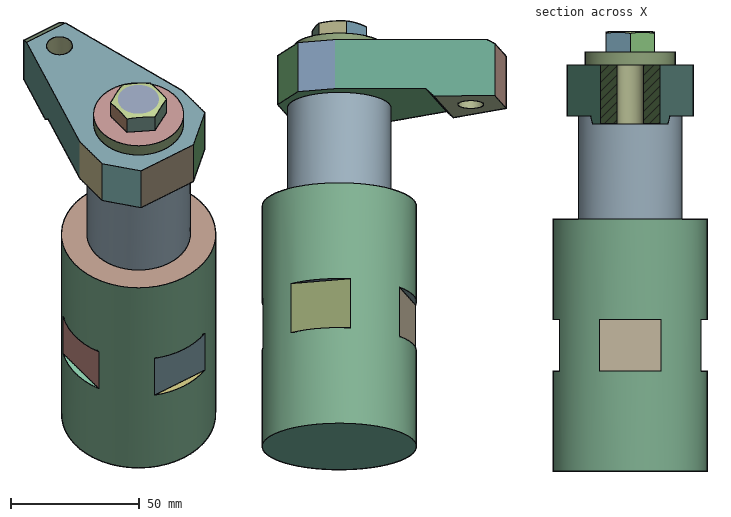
import cadquery as cq
import math

housing_diameter = 60.0
housing_height = 98.0
flat_count = 4
flat_height = 20.0
flat_depth = 2.5

rod_diameter = 40.3
rod_length = 40.0

arm_thickness = 20.0
arm_reach = 65.0
arm_back = 22.0
arm_width = 49.0
tip_width = 17.0
taper_start = 5.0
corner_cut_length = 12.0
front_corner_cut = 10.0
rear_corner_cut = 14.0
tip_bevel_length = 3.0
tip_bevel_angle = 30.0

pad_drop = 3.0
pad_length = 23.0

tip_hole_diameter = 10.0
tip_hole_reach = 53.0

flange_diameter = 35.0
flange_thickness = 5.0
hex_sides = 6
hex_across_flats = 19.0
hex_height = 8.0
hex_top_diameter = 16.0
hex_bevel_angle = 15.0

arm_bottom = housing_height + rod_length
arm_top = arm_bottom + arm_thickness
pad_bottom = arm_bottom - pad_drop
hex_bottom = arm_top + flange_thickness
hex_top = hex_bottom + hex_height
hex_across_corners = hex_across_flats / math.cos(math.pi / hex_sides)


def cylinder(diameter, bottom, height, x=0.0):
    """Vertical cylinder standing at the given level."""
    return cq.Workplane("XY", origin=(x, 0, bottom)).circle(diameter / 2).extrude(height)


def make_housing():
    """Cylinder with flats at mid height facing +X, +Y, -X and -Y."""
    body = cylinder(housing_diameter, 0, housing_height)
    flat_cutter = (
        cq.Workplane("XY")
        .box(flat_depth, housing_diameter, flat_height)
        .translate(((housing_diameter - flat_depth) / 2, 0, housing_height / 2))
    )
    for index in range(flat_count):
        angle = index * 360 / flat_count
        body = body.cut(flat_cutter.rotate((0, 0, 0), (0, 0, 1), angle))
    return body


def make_rod():
    """Plain rod standing on the housing and carrying the arm."""
    return cylinder(rod_diameter, housing_height, rod_length)


def arm_plan():
    """Tapered outline with two unequal cut corners at the back, over the full arm height."""
    half_width = arm_width / 2
    half_tip = tip_width / 2
    corner_start = arm_back - corner_cut_length
    return (
        cq.Workplane("XY", origin=(0, 0, pad_bottom))
        .moveTo(-arm_reach, -half_tip)
        .lineTo(-taper_start, -half_width)
        .lineTo(corner_start, -half_width)
        .lineTo(arm_back, -half_width + front_corner_cut)
        .lineTo(arm_back, half_width - rear_corner_cut)
        .lineTo(corner_start, half_width)
        .lineTo(-taper_start, half_width)
        .lineTo(-arm_reach, half_tip)
        .close()
        .extrude(arm_top - pad_bottom)
    )


def arm_profile():
    """Side profile with the pad below the tip and the bevel above it, over the full arm width."""
    tip_bevel_drop = tip_bevel_length * math.tan(math.radians(tip_bevel_angle))
    pad_end = -arm_reach + pad_length
    return (
        cq.Workplane("XZ")
        .moveTo(-arm_reach, pad_bottom)
        .lineTo(pad_end, pad_bottom)
        .lineTo(pad_end + pad_drop, arm_bottom)
        .lineTo(arm_back, arm_bottom)
        .lineTo(arm_back, arm_top)
        .lineTo(-arm_reach + tip_bevel_length, arm_top)
        .lineTo(-arm_reach, arm_top - tip_bevel_drop)
        .close()
        .extrude(arm_width / 2, both=True)
    )


def hex_head():
    """Hexagon with two corners on the X axis and its upper corners turned to a shallow cone."""
    hexagon = (
        cq.Workplane("XY", origin=(0, 0, hex_bottom))
        .polygon(hex_sides, hex_across_corners)
        .extrude(hex_height)
    )
    top_radius = hex_top_diameter / 2
    blank_radius = flange_diameter / 2
    bevel_slope = math.tan(math.radians(hex_bevel_angle))
    cone_drop = (blank_radius - top_radius) * bevel_slope
    turned_blank = (
        cq.Workplane("XZ")
        .moveTo(0, hex_bottom)
        .lineTo(blank_radius, hex_bottom)
        .lineTo(blank_radius, hex_top - cone_drop)
        .lineTo(top_radius, hex_top)
        .lineTo(0, hex_top)
        .close()
        .revolve(360, (0, 0, 0), (0, 1, 0))
    )
    return hexagon.intersect(turned_blank)


def make_arm():
    """Clamp arm with its tip hole, topped by the flange and hexagon head on the rod axis."""
    tip_hole = cylinder(tip_hole_diameter, pad_bottom, arm_top - pad_bottom, -tip_hole_reach)
    flange = cylinder(flange_diameter, arm_top, flange_thickness)
    return arm_plan().intersect(arm_profile()).cut(tip_hole).union(flange).union(hex_head())


housing = make_housing()
rod = make_rod()
arm = make_arm()
result = cq.Compound.makeCompound([housing.solids().val(), rod.solids().val(), arm.solids().val()])